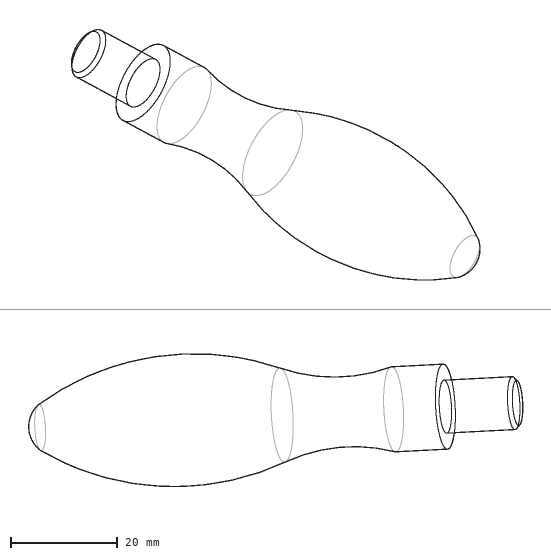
import cadquery as cq
import math

total_length = 94.0
stud_length = 13.9
collar_end = 23.9
neck_x = 33.4
belly_x = 64.2
tip_start = 91.9

stud_radius = 5.0
stud_chamfer = 0.75
collar_radius = 8.0
neck_radius = 6.6
belly_radius = 12.4

belly_arc_radius = 51.7

belly_center_y = belly_radius - belly_arc_radius
center_span = belly_x - neck_x
rise = neck_radius - belly_center_y
center_gap_squared = center_span**2 + rise**2
neck_arc_radius = (center_gap_squared - belly_arc_radius**2) / (2 * (belly_arc_radius - rise))


def belly_height(x):
    """Profile radius on the convex belly arc."""
    return belly_center_y + math.sqrt(belly_arc_radius**2 - (x - belly_x) ** 2)


blend_x = neck_x + center_span * neck_arc_radius / (neck_arc_radius + belly_arc_radius)
blend_radius = belly_height(blend_x)

tip_radius = belly_height(tip_start)
tip_length = total_length - tip_start
tip_arc_radius = (tip_length**2 + tip_radius**2) / (2 * tip_length)
tip_center_x = total_length - tip_arc_radius
tip_half_angle = math.asin(tip_radius / tip_arc_radius) / 2
tip_mid = (
    tip_center_x + tip_arc_radius * math.cos(tip_half_angle),
    tip_arc_radius * math.sin(tip_half_angle),
)

profile = (
    cq.Workplane("XY")
    .moveTo(0, 0)
    .lineTo(0, stud_radius - stud_chamfer)
    .lineTo(stud_chamfer, stud_radius)
    .lineTo(stud_length, stud_radius)
    .lineTo(stud_length, collar_radius)
    .lineTo(collar_end, collar_radius)
    .threePointArc((neck_x, neck_radius), (blend_x, blend_radius))
    .threePointArc((belly_x, belly_radius), (tip_start, tip_radius))
    .threePointArc(tip_mid, (total_length, 0))
    .close()
)
result = profile.revolve(360, (0, 0, 0), (1, 0, 0))